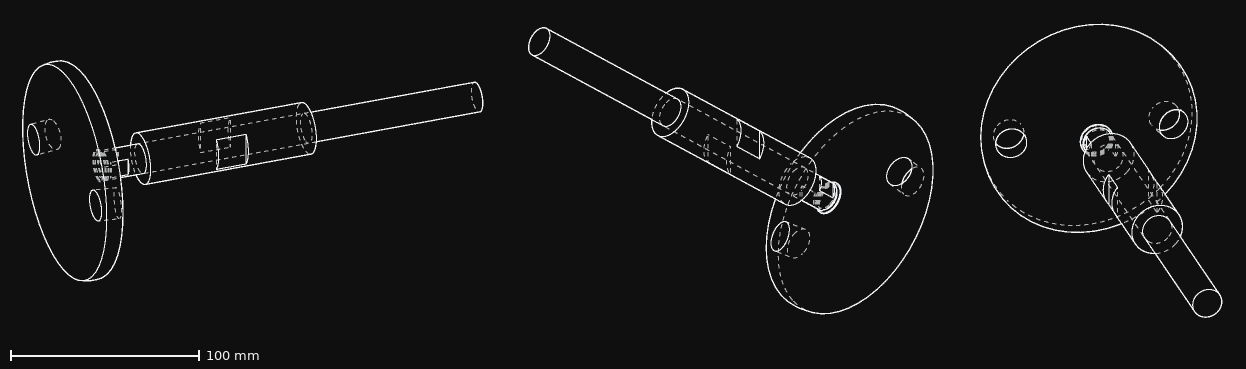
import cadquery as cq
import math

total_length = 237
y_bottom = -total_length / 2

foot_radius = 118.0 / 2
underside_radius = 58.3
lower_rim_height = 4.3
upper_rim_height = 7.3
cone_edge_radius = 55.7
cone_edge_height = 10.2
cone_top_radius = 11.0
cone_top_height = 17.3
neck_radius = 8.3
neck_height = 20.0
seal_radius = 9.0
seal_thickness = 0.7
groove_radius = 6.9
rim_bulge = 0.6
neck_hollow = 0.5

hole_diameter = 16.5
hole_offset = 43.0
hole_tool_length = 71
cone_angle = math.degrees(
    math.atan2(cone_top_height - cone_edge_height, cone_edge_radius - cone_top_radius)
)

spindle_diameter = 16.0
spindle_start = 22.3
spindle_flat_start = 23.7
spindle_flat_length = 10.0
spindle_across_flats = 13.3

sleeve_diameter = 28.0
sleeve_start = 43.5
sleeve_length = 95.3
sleeve_flat_length = 17.0
sleeve_across_flats = 21.8


def cylinder(diameter, start, length):
    """Cylinder on the Y axis, starting at a height above the underside."""
    base = cq.Plane(origin=(0, y_bottom + start, 0), xDir=(1, 0, 0), normal=(0, 1, 0))
    return cq.Workplane(base).circle(diameter / 2).extrude(length)


def cut_wrench_flats(body, diameter, across_flats, start, length):
    """Cut parallel flats on the -X and +X sides of a round body."""
    depth = (diameter - across_flats) / 2
    for side in (-1, 1):
        cutter = cq.Workplane("XY").box(depth, length, diameter).translate(
            (side * (across_flats + depth) / 2, y_bottom + start + length / 2, 0)
        )
        body = body.cut(cutter)
    return body


def make_foot():
    rim_mid = (
        (foot_radius + cone_edge_radius) / 2 + rim_bulge,
        (upper_rim_height + cone_edge_height) / 2 + rim_bulge,
    )
    neck_mid = (
        (cone_top_radius + neck_radius) / 2 - neck_hollow,
        (cone_top_height + neck_height) / 2 - neck_hollow,
    )
    seal_top = neck_height + seal_thickness
    profile = (
        cq.Workplane("XY")
        .moveTo(0, 0)
        .lineTo(underside_radius, 0)
        .lineTo(foot_radius, lower_rim_height)
        .lineTo(foot_radius, upper_rim_height)
        .threePointArc(rim_mid, (cone_edge_radius, cone_edge_height))
        .lineTo(cone_top_radius, cone_top_height)
        .threePointArc(neck_mid, (neck_radius, neck_height))
        .lineTo(seal_radius, neck_height)
        .lineTo(seal_radius, seal_top)
        .lineTo(groove_radius, seal_top)
        .lineTo(groove_radius, spindle_start)
        .lineTo(0, spindle_start)
        .close()
    )
    foot = profile.revolve(360, (0, 0, 0), (0, 1, 0)).translate((0, y_bottom, 0))
    for side in (-1, 1):
        center = (side * hole_offset, y_bottom, 0)
        axis = (side * math.sin(math.radians(cone_angle)), math.cos(math.radians(cone_angle)), 0)
        plane = cq.Plane(origin=center, xDir=(0, 0, 1), normal=axis)
        drill = cq.Workplane(plane).circle(hole_diameter / 2).extrude(hole_tool_length / 2, both=True)
        foot = foot.cut(drill)
    return foot


def make_spindle():
    rod = cylinder(spindle_diameter, spindle_start, total_length - spindle_start)
    return cut_wrench_flats(
        rod, spindle_diameter, spindle_across_flats, spindle_flat_start, spindle_flat_length
    )


def make_sleeve():
    tube = cylinder(sleeve_diameter, sleeve_start, sleeve_length)
    tube = tube.cut(cylinder(spindle_diameter, sleeve_start, sleeve_length))
    flat_start = sleeve_start + (sleeve_length - sleeve_flat_length) / 2
    return cut_wrench_flats(
        tube, sleeve_diameter, sleeve_across_flats, flat_start, sleeve_flat_length
    )


foot = make_foot()
spindle = make_spindle()
sleeve = make_sleeve()
result = cq.Compound.makeCompound([foot.val(), spindle.val(), sleeve.val()])